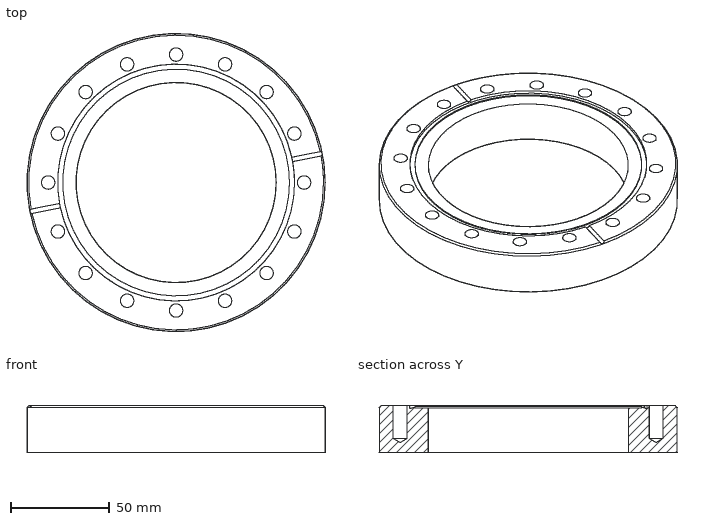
import cadquery as cq
import math

outer_diameter = 152.0
outer_radius = outer_diameter / 2
thickness = 24.0
bore_radius = 50.9
rim_chamfer = 0.9

recess_radius = 60.3
knife_radius = 57.8
knife_tip_depth = 0.6
knife_slope_angle = 20.0
inner_face_depth = 1.2

hole_count = 16
hole_pitch = 360 / hole_count
bolt_circle_radius = 65.2
hole_radius = 3.42
hole_depth = 16.7
drill_tip_angle = 118.0

groove_radius = 1.2
groove_width = 2.3
groove_angles = (hole_pitch / 2, 180 + hole_pitch / 2)


def make_body():
    """Revolve the flange section, including the knife edge and the rim chamfer."""
    knife_width = recess_radius - knife_radius
    knife_height = knife_width * math.tan(math.radians(knife_slope_angle))
    knife_tip_z = thickness - knife_tip_depth
    inner_face_z = thickness - inner_face_depth
    section = (
        cq.Workplane("XZ")
        .moveTo(bore_radius, 0)
        .lineTo(outer_radius, 0)
        .lineTo(outer_radius, thickness - rim_chamfer)
        .lineTo(outer_radius - rim_chamfer, thickness)
        .lineTo(recess_radius, thickness)
        .lineTo(recess_radius, knife_tip_z - knife_height)
        .lineTo(knife_radius, knife_tip_z)
        .lineTo(knife_radius, inner_face_z)
        .lineTo(bore_radius, inner_face_z)
        .close()
    )
    return section.revolve(360, (0, 0, 0), (0, 1, 0))


def make_bolt_hole():
    """Drilled hole whose axis is the Z axis and whose mouth is in the top face."""
    tip_length = hole_radius / math.tan(math.radians(drill_tip_angle / 2))
    shoulder_z = thickness - hole_depth
    section = (
        cq.Workplane("XZ")
        .moveTo(0, thickness)
        .lineTo(hole_radius, thickness)
        .lineTo(hole_radius, shoulder_z)
        .lineTo(0, shoulder_z - tip_length)
        .close()
    )
    return section.revolve(360, (0, 0, 0), (0, 1, 0))


def make_leak_groove(angle):
    """Radial cylinder that cuts from the recess wall out through the rim."""
    axis_height = math.sqrt(groove_radius**2 - (groove_width / 2) ** 2)
    start_radius = (knife_radius + recess_radius) / 2
    return (
        cq.Workplane("YZ", origin=(start_radius, 0, 0))
        .center(0, thickness + axis_height)
        .circle(groove_radius)
        .extrude(outer_radius - start_radius)
        .rotate((0, 0, 0), (0, 0, 1), angle)
    )


result = make_body()

bolt_hole = make_bolt_hole().translate((bolt_circle_radius, 0, 0))
for index in range(hole_count):
    result = result.cut(bolt_hole.rotate((0, 0, 0), (0, 0, 1), index * hole_pitch))

for groove_angle in groove_angles:
    result = result.cut(make_leak_groove(groove_angle))